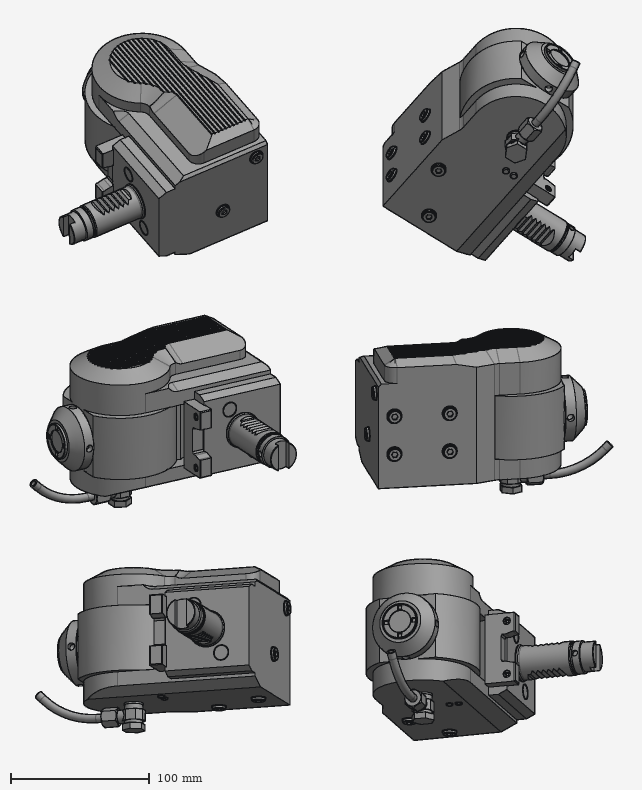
import cadquery as cq
import math


HEAD_X = -73.0
HEAD_Y = 50.0
HEAD_RADIUS = 36.2
BODY_RIGHT = 32.0
BODY_FRONT = HEAD_Y - HEAD_RADIUS
BODY_BACK = 92.0
BODY_BOTTOM = -40.0
BODY_TOP = 39.0
FLARE_X = -40.0
FLARE_ANGLE = math.radians(20.0)
FLARE_FILLET = 11.0
SHALLOW_SLOPE = math.tan(math.radians(25.0))
BOTTOM_CHAMFER = 12.0
TOP_CHAMFER = 8.4
TOP_CHAMFER_LEFT = -45.8
SIDE_CHAMFER = 2.2
RUNOUT_RADIUS = 10.0

COVER_TOP = 55.4
COVER_RIGHT = 26.2
COVER_FRONT = 33.8
COVER_CORNER = 8.0
COVER_SLOPE = math.tan(math.radians(30.0))
HEAD_CHAMFER = 13.0
EDGE_CHAMFER = COVER_CORNER
FRONT_SLOPE_WIDTH = 19.8
FRONT_SLOPE_LEFT = -30.0
NECK_FILLET = 8.0
RIB_COUNT = 17
RIB_PITCH = 3.17
RIB_GROOVE_FIRST_Y = 30.4
RIB_GROOVE_WIDTH = 0.8
RIB_GROOVE_DEPTH = 0.3

BAND_RADIUS = 41.2
BAND_HALF_HEIGHT = 24.0
BAND_FLAT_X = -108.25
RECESS_MOUTH_X = -36.0
RECESS_CORNER = (-28.4, 29.8)
RECESS_STEP = (-37.3, 24.6)
RECESS_BACK_Y = 25.4
COLLAR_RADIUS = 23.8
COLLAR_BACK = -109.1
COLLAR_FRONT = -116.7
NOSE_FRONT = -124.9
NOSE_RADIUS = 15.6
NECK_RADIUS = 22.0
RIM_FRONT = -126.8
RIM_RADIUS = 13.2
RIM_INNER_RADIUS = 12.4
RIM_DEPTH = 0.5
NOSE_BORE_RADIUS = 8.3
NOSE_BORE_DEPTH = 1.0
DRIVE_SLOT_SIZE = 3.2
DRIVE_SLOT_CENTER = 10.6
DRIVE_SLOT_DEPTH = 2.5
SPANNER_HOLE_X = -112.6
SPANNER_HOLE_RADIUS = 2.6
SPANNER_HOLE_DEPTH = 5.0
SPANNER_TIP_DEPTH = 1.5

FLANGE_HALF = 32.0
FLANGE_CHAMFER_DEPTH = 6.4
PLUG_POSITIONS = [(-10.4, 18.1), (10.7, -18.3)]
PLUG_RADIUS = 5.7
PLUG_GROOVE = 0.4
BLOCK_LEFT = -40.8
BLOCK_RIGHT = -31.0
BLOCK_FRONT = -9.3
BLOCK_HALF_HEIGHT = 26.0
BLOCK_EDGE = 0.7
NOTCH_FLOOR_Y = 1.4
NOTCH_FLOOR_HALF = 8.8
NOTCH_CORNER_Y = 0.6
NOTCH_HALF = 10.3
NOTCH_MOUTH_HALF = 11.8
NOTCH_TAPER_START = -2.3
NOTCH_TAPER_END = -7.5
BLOCK_SCREW_Y = -2.9
BLOCK_SCREW_Z = 20.0
BLOCK_SCREW_RADIUS = 2.7
BLOCK_SCREW_DEPTH = 3.0
BLOCK_SOCKET_FLATS = 2.5

SHANK_END = -58.6
SHANK_RADIUS = 12.5
SHANK_COLLAR_RADIUS = 13.5
SHANK_COLLAR_Y = -0.8
SHANK_COLLAR_NECK_Y = -1.8
SHANK_TAPER_Y = -2.8
SHANK_CHAMFER_Y = -40.3
SHANK_CHAMFER = 0.3
SEAL_GROOVE_RADIUS = 11.2
SEAL_GROOVE_START_Y = -41.2
SEAL_GROOVE_END_Y = -42.6
SEAL_RING_RADIUS = 12.0
SEAL_RING_END_Y = -48.2
TAIL_CHAMFER = 0.4
TAIL_RADIUS = 10.9
TAIL_SLOT_WIDTH = 8.8
TAIL_SLOT_DEPTH = 4.4
TOOTH_COUNT = 6
TOOTH_PITCH = 4.05
TOOTH_FIRST_Y = -11.6
TOOTH_TIP_Z = 11.0
TOOTH_ROOT_Z = 9.2
TOOTH_RAMP_START = -6.2
TOOTH_LAND_START = -7.3
TOOTH_RUNOUT_END = -35.4
SIDE_HOLE_Y = -45.0
SIDE_HOLE_RADIUS = 2.1
SIDE_HOLE_DEPTH = 3.0

POST_RADIUS = 6.6
POST_RING_RADIUS = 6.9
POST_RING_BOTTOM = -41.3
POST_BOTTOM = -55.4
FITTING_BOTTOM = -60.0
FITTING_FLATS = 14.6
BANJO_TOP = -45.1
BANJO_BOTTOM = -53.0
BANJO_LENGTH = 15.6
BANJO_WIDTH = 14.0
BANJO_CHAMFER = 4.0
PIPE_Z = -49.2
ELBOW_RADIUS = 4.9
NUT_RIGHT = -84.0
NUT_LEFT = -96.1
NUT_FLATS = 12.6
NUT_CHAMFER = 1.2
PIPE_RADIUS = 3.1
PIPE_BORE_RADIUS = 1.9
PIPE_BORE_DEPTH = 6.0
PIPE_BEND_START = -101.0
PIPE_BEND_RADIUS = 58.0
PIPE_BEND_ANGLE = math.radians(45.0)
PIPE_TIP_LENGTH = 5.1

SCREW_FLANGE_RADIUS = 5.5
SCREW_FLANGE_HEIGHT = 0.6
SCREW_HEAD_RADIUS = 4.9
SCREW_HEIGHT = 2.6
SCREW_EDGE = 0.6
SCREW_SOCKET_FLATS = 4.0
SCREW_SOCKET_DEPTH = 1.6
BACK_SCREW_X = 20.3
BACK_SCREW_Z = 14.3
SIDE_SCREWS = [(82.2, 29.5), (53.9, -10.1)]
BOTTOM_SCREWS = [(-17.8, 78.8), (18.6, 60.5)]
PIN_X = -45.8
PIN_YS = [39.0, 32.0]
PIN_RADIUS = 2.6
PIN_HEIGHT = 1.4

OVERLAP = 1.0


def box(x0, x1, y0, y1, z0, z1):
    return cq.Workplane("XY").box(x1 - x0, y1 - y0, z1 - z0, centered=False).translate((x0, y0, z0))


def cylinder(base, direction, radius, length):
    return cq.Workplane(obj=cq.Solid.makeCylinder(radius, length, cq.Vector(*base), cq.Vector(*direction)))


def prism_along_x(points_yz, x0, x1):
    return cq.Workplane("YZ").polyline(points_yz).close().extrude(x1 - x0).translate((x0, 0, 0))


def prism_along_y(points_xz, y0, y1):
    return cq.Workplane("XZ").polyline(points_xz).close().extrude(y0 - y1).translate((0, y0, 0))


def hexagon(plane, flats, length):
    return cq.Workplane(plane).polygon(6, flats / math.cos(math.pi / 6)).extrude(length)


def sloped_pocket(left, right, front_y, width, top_z):
    """Cutter for a chamfer facing -Y whose left end runs out on a radius along the slope."""
    angle = math.degrees(math.atan(SHALLOW_SLOPE))
    reach = 4 * RUNOUT_RADIUS
    upright = cq.Plane(origin=(left, front_y + width, top_z), xDir=(1, 0, 0), normal=(0, -1, 0))
    plane = upright.rotated((angle, 0, 0))
    return (
        cq.Workplane(plane)
        .moveTo(0, 0)
        .lineTo(right - left, 0)
        .lineTo(right - left, reach)
        .lineTo(-RUNOUT_RADIUS, reach)
        .lineTo(-RUNOUT_RADIUS, RUNOUT_RADIUS)
        .radiusArc((0, 0), -RUNOUT_RADIUS)
        .close()
        .extrude(reach, both=True)
    )


def flare_start_x():
    """X where the straight back of the head would meet the sloping flare."""
    head_back = HEAD_Y + HEAD_RADIUS
    return FLARE_X - (BODY_BACK - head_back) / math.tan(FLARE_ANGLE)


def flare_arc(inset):
    """Start, middle and end of the hollow arc between the back of the head and the flare."""
    center_x = flare_start_x() - FLARE_FILLET * math.tan(FLARE_ANGLE / 2)
    center_y = HEAD_Y + HEAD_RADIUS + FLARE_FILLET
    radius = FLARE_FILLET + inset
    return [
        (center_x + radius * math.sin(angle), center_y - radius * math.cos(angle))
        for angle in (0, FLARE_ANGLE / 2, FLARE_ANGLE)
    ]


def housing():
    arc_start, arc_middle, arc_end = flare_arc(0)
    body = (
        cq.Workplane("XY", origin=(0, 0, BODY_BOTTOM))
        .moveTo(HEAD_X, BODY_FRONT)
        .lineTo(BODY_RIGHT, BODY_FRONT)
        .lineTo(BODY_RIGHT, BODY_BACK)
        .lineTo(FLARE_X, BODY_BACK)
        .lineTo(*arc_end)
        .threePointArc(arc_middle, arc_start)
        .lineTo(HEAD_X, HEAD_Y + HEAD_RADIUS)
        .threePointArc((HEAD_X - HEAD_RADIUS, HEAD_Y), (HEAD_X, BODY_FRONT))
        .close()
        .extrude(BODY_TOP - BODY_BOTTOM)
    )
    bottom_drop = BOTTOM_CHAMFER * SHALLOW_SLOPE
    bottom_cut = prism_along_x(
        [
            (BODY_FRONT, BODY_BOTTOM),
            (BODY_FRONT + BOTTOM_CHAMFER, BODY_BOTTOM),
            (BODY_FRONT, BODY_BOTTOM + bottom_drop),
        ],
        HEAD_X - HEAD_RADIUS,
        BODY_RIGHT,
    )
    side_cut = prism_along_y(
        [
            (BODY_RIGHT - SIDE_CHAMFER, BODY_TOP),
            (BODY_RIGHT, BODY_TOP),
            (BODY_RIGHT, BODY_TOP - SIDE_CHAMFER),
        ],
        BODY_FRONT,
        BODY_BACK,
    )
    top_cut = sloped_pocket(TOP_CHAMFER_LEFT, BODY_RIGHT + OVERLAP, BODY_FRONT, TOP_CHAMFER, BODY_TOP)
    recess = (
        cq.Workplane("XY", origin=(0, 0, -BAND_HALF_HEIGHT))
        .polyline(
            [
                (HEAD_X, BODY_FRONT),
                (RECESS_MOUTH_X, BODY_FRONT),
                RECESS_CORNER,
                RECESS_STEP,
                (BLOCK_LEFT, RECESS_BACK_Y),
                (HEAD_X, RECESS_BACK_Y),
            ]
        )
        .close()
        .extrude(2 * BAND_HALF_HEIGHT)
    )
    return body.cut(bottom_cut).cut(side_cut).cut(top_cut).cut(recess)


def neck_fillet_center():
    """Centre of the hollow fillet between the round head and the straight front of the cover."""
    y = COVER_FRONT - NECK_FILLET
    center_gap = HEAD_RADIUS + NECK_FILLET
    return HEAD_X + math.sqrt(center_gap**2 - (HEAD_Y - y) ** 2), y


def head_outline(inset, z):
    """Outline of the cover round the head, moved inward everywhere but at its right end."""
    fillet_x, fillet_y = neck_fillet_center()
    bearing = math.atan2(fillet_y - HEAD_Y, fillet_x - HEAD_X)
    radius = HEAD_RADIUS - inset
    fillet = NECK_FILLET + inset
    right = fillet_x + OVERLAP
    arc_start, arc_middle, arc_end = flare_arc(inset)
    tangent = (HEAD_X + radius * math.cos(bearing), HEAD_Y + radius * math.sin(bearing))
    fillet_mid = (math.pi / 2 + bearing + math.pi) / 2
    return (
        cq.Workplane("XY", origin=(0, 0, z))
        .moveTo(right, HEAD_Y)
        .lineTo(*arc_end)
        .threePointArc(arc_middle, arc_start)
        .lineTo(HEAD_X, HEAD_Y + radius)
        .threePointArc((HEAD_X - radius, HEAD_Y), tangent)
        .threePointArc(
            (fillet_x + fillet * math.cos(fillet_mid), fillet_y + fillet * math.sin(fillet_mid)),
            (fillet_x, fillet_y + fillet),
        )
        .lineTo(right, fillet_y + fillet)
        .close()
    )


def cover_head():
    rim_z = COVER_TOP - HEAD_CHAMFER * COVER_SLOPE
    base_z = BODY_TOP - OVERLAP
    wall = head_outline(0, base_z).extrude(rim_z - base_z)
    slope = cq.Solid.makeLoft(
        [head_outline(0, rim_z).val(), head_outline(HEAD_CHAMFER, COVER_TOP).val()],
        True,
    )
    return wall.union(cq.Workplane(obj=slope))


def cover_block():
    base_z = BODY_TOP - OVERLAP
    neck_x = neck_fillet_center()[0]
    start_x = flare_start_x()
    head_back = HEAD_Y + HEAD_RADIUS
    block = (
        cq.Workplane("XY", origin=(0, 0, base_z))
        .polyline(
            [
                (neck_x, COVER_FRONT),
                (COVER_RIGHT, COVER_FRONT),
                (COVER_RIGHT, BODY_BACK),
                (FLARE_X, BODY_BACK),
                (start_x, head_back),
                (start_x, head_back - HEAD_CHAMFER),
                (neck_x, HEAD_Y),
            ]
        )
        .close()
        .extrude(COVER_TOP - base_z)
        .edges("|Z and >X")
        .fillet(COVER_CORNER)
    )
    edge_drop = EDGE_CHAMFER * COVER_SLOPE
    back_cut = prism_along_x(
        [
            (BODY_BACK - EDGE_CHAMFER, COVER_TOP),
            (BODY_BACK, COVER_TOP),
            (BODY_BACK, COVER_TOP - edge_drop),
        ],
        start_x,
        COVER_RIGHT,
    )
    right_cut = prism_along_y(
        [
            (COVER_RIGHT - EDGE_CHAMFER, COVER_TOP),
            (COVER_RIGHT, COVER_TOP),
            (COVER_RIGHT, COVER_TOP - edge_drop),
        ],
        COVER_FRONT,
        BODY_BACK,
    )
    flare_length = COVER_RIGHT - start_x
    head_drop = HEAD_CHAMFER * COVER_SLOPE
    flare_cut = (
        prism_along_x(
            [
                (-HEAD_CHAMFER, COVER_TOP),
                (HEAD_CHAMFER, COVER_TOP + head_drop),
                (HEAD_CHAMFER, COVER_TOP - 2 * head_drop),
            ],
            -HEAD_CHAMFER,
            flare_length,
        )
        .rotate((0, 0, 0), (0, 0, 1), math.degrees(FLARE_ANGLE))
        .translate((start_x, head_back, 0))
    )
    corner_x = COVER_RIGHT - COVER_CORNER
    corner_y = BODY_BACK - COVER_CORNER
    corner_base = COVER_TOP - edge_drop
    cone = cq.Solid.makeCone(COVER_CORNER, 0, edge_drop, cq.Vector(corner_x, corner_y, corner_base))
    corner_cut = box(corner_x, COVER_RIGHT, corner_y, BODY_BACK, corner_base, COVER_TOP)
    corner_cut = corner_cut.cut(cq.Workplane(obj=cone))
    return block.cut(back_cut).cut(right_cut).cut(corner_cut).cut(flare_cut)


def cover():
    front_cut = sloped_pocket(
        FRONT_SLOPE_LEFT, COVER_RIGHT + OVERLAP, COVER_FRONT, FRONT_SLOPE_WIDTH, COVER_TOP
    )
    raised = cover_head().union(cover_block()).cut(front_cut)
    for index in range(RIB_COUNT):
        y = RIB_GROOVE_FIRST_Y + index * RIB_PITCH
        raised = raised.cut(
            box(
                HEAD_X - HEAD_RADIUS,
                COVER_RIGHT,
                y - RIB_GROOVE_WIDTH / 2,
                y + RIB_GROOVE_WIDTH / 2,
                COVER_TOP - RIB_GROOVE_DEPTH,
                COVER_TOP + OVERLAP,
            )
        )
    return raised


def middle_band():
    band = cylinder((HEAD_X, HEAD_Y, -BAND_HALF_HEIGHT), (0, 0, 1), BAND_RADIUS, 2 * BAND_HALF_HEIGHT)
    flat = box(
        HEAD_X - 2 * BAND_RADIUS,
        BAND_FLAT_X,
        HEAD_Y - BAND_RADIUS,
        HEAD_Y + BAND_RADIUS,
        -BAND_HALF_HEIGHT,
        BAND_HALF_HEIGHT,
    )
    return band.cut(flat)


def spindle_nose():
    nose = (
        cq.Workplane("XY", origin=(0, HEAD_Y, 0))
        .polyline(
            [
                (HEAD_X, 0),
                (HEAD_X, NECK_RADIUS),
                (COLLAR_BACK, NECK_RADIUS),
                (COLLAR_BACK, COLLAR_RADIUS),
                (COLLAR_FRONT, COLLAR_RADIUS),
                (NOSE_FRONT, NOSE_RADIUS),
                (NOSE_FRONT, RIM_RADIUS),
                (RIM_FRONT, RIM_RADIUS),
                (RIM_FRONT, RIM_INNER_RADIUS),
                (RIM_FRONT + RIM_DEPTH, RIM_INNER_RADIUS),
                (RIM_FRONT + RIM_DEPTH, NOSE_BORE_RADIUS),
                (RIM_FRONT + RIM_DEPTH + NOSE_BORE_DEPTH, NOSE_BORE_RADIUS),
                (RIM_FRONT + RIM_DEPTH + NOSE_BORE_DEPTH, 0),
            ]
        )
        .close()
        .revolve(360, (0, 0, 0), (1, 0, 0))
    )
    half_slot = DRIVE_SLOT_SIZE / 2
    slot = box(
        RIM_FRONT,
        RIM_FRONT + RIM_DEPTH + DRIVE_SLOT_DEPTH,
        HEAD_Y - half_slot,
        HEAD_Y + half_slot,
        DRIVE_SLOT_CENTER - half_slot,
        DRIVE_SLOT_CENTER + half_slot,
    )
    hole_start = COLLAR_RADIUS - SPANNER_HOLE_DEPTH
    hole = cylinder(
        (SPANNER_HOLE_X, HEAD_Y, hole_start), (0, 0, 1), SPANNER_HOLE_RADIUS, 2 * SPANNER_HOLE_DEPTH
    )
    tip = cq.Solid.makeCone(
        SPANNER_HOLE_RADIUS,
        0,
        SPANNER_TIP_DEPTH,
        cq.Vector(SPANNER_HOLE_X, HEAD_Y, hole_start),
        cq.Vector(0, 0, -1),
    )
    cutter = slot.union(hole.union(cq.Workplane(obj=tip)))
    for quarter in range(4):
        nose = nose.cut(cutter.rotate((0, HEAD_Y, 0), (1, HEAD_Y, 0), 90 * quarter))
    return nose


def flange():
    slope_drop = FLANGE_CHAMFER_DEPTH * SHALLOW_SLOPE
    plate = prism_along_x(
        [
            (0, slope_drop - FLANGE_HALF),
            (FLANGE_CHAMFER_DEPTH, -FLANGE_HALF),
            (BODY_FRONT, -FLANGE_HALF),
            (BODY_FRONT, FLANGE_HALF),
            (FLANGE_CHAMFER_DEPTH, FLANGE_HALF),
            (0, FLANGE_HALF - slope_drop),
        ],
        -FLANGE_HALF,
        BODY_RIGHT,
    )
    for x, z in PLUG_POSITIONS:
        outer = cylinder((x, 0, z), (0, 1, 0), PLUG_RADIUS, PLUG_GROOVE)
        inner = cylinder((x, 0, z), (0, 1, 0), PLUG_RADIUS - PLUG_GROOVE, PLUG_GROOVE)
        plate = plate.cut(outer.cut(inner))
    return plate


def stop_block():
    plate = box(BLOCK_LEFT, -FLANGE_HALF, BLOCK_FRONT, BODY_FRONT, -BLOCK_HALF_HEIGHT, BLOCK_HALF_HEIGHT)
    lip = box(-FLANGE_HALF, BLOCK_RIGHT, BLOCK_FRONT, 0, -BLOCK_HALF_HEIGHT, BLOCK_HALF_HEIGHT)
    block = plate.union(lip).edges("<Y").chamfer(BLOCK_EDGE)
    notch = prism_along_x(
        [
            (NOTCH_FLOOR_Y, -NOTCH_FLOOR_HALF),
            (NOTCH_FLOOR_Y, NOTCH_FLOOR_HALF),
            (NOTCH_CORNER_Y, NOTCH_HALF),
            (NOTCH_TAPER_START, NOTCH_HALF),
            (NOTCH_TAPER_END, NOTCH_MOUTH_HALF),
            (BLOCK_FRONT, NOTCH_MOUTH_HALF),
            (BLOCK_FRONT, -NOTCH_MOUTH_HALF),
            (NOTCH_TAPER_END, -NOTCH_MOUTH_HALF),
            (NOTCH_TAPER_START, -NOTCH_HALF),
            (NOTCH_CORNER_Y, -NOTCH_HALF),
        ],
        BLOCK_LEFT,
        BLOCK_RIGHT,
    )
    block = block.cut(notch)
    for z in (-BLOCK_SCREW_Z, BLOCK_SCREW_Z):
        pocket = cylinder((BLOCK_LEFT, BLOCK_SCREW_Y, z), (1, 0, 0), BLOCK_SCREW_RADIUS, BLOCK_SCREW_DEPTH)
        head = cylinder(
            (BLOCK_LEFT + BLOCK_EDGE, BLOCK_SCREW_Y, z),
            (1, 0, 0),
            BLOCK_SCREW_RADIUS - BLOCK_EDGE / 2,
            BLOCK_SCREW_DEPTH,
        )
        socket = hexagon("YZ", BLOCK_SOCKET_FLATS, BLOCK_SCREW_DEPTH)
        socket = socket.translate((BLOCK_LEFT, BLOCK_SCREW_Y, z))
        block = block.cut(pocket).union(head.cut(socket))
    return block


def shank_teeth(sign):
    """Cutter for one row of teeth: a flat land, V grooves along it and a sloping run-out."""
    clear_z = SHANK_RADIUS + OVERLAP
    half_pitch = TOOTH_PITCH / 2
    profile = [
        (TOOTH_RAMP_START, clear_z),
        (TOOTH_RAMP_START, SHANK_RADIUS),
        (TOOTH_LAND_START, TOOTH_TIP_Z),
    ]
    for index in range(TOOTH_COUNT):
        root_y = TOOTH_FIRST_Y - index * TOOTH_PITCH
        profile.append((root_y + half_pitch, TOOTH_TIP_Z))
        profile.append((root_y, TOOTH_ROOT_Z))
    profile.append((TOOTH_RUNOUT_END, SHANK_RADIUS))
    profile.append((TOOTH_RUNOUT_END, clear_z))
    return prism_along_x([(y, sign * z) for y, z in profile], -SHANK_RADIUS, SHANK_RADIUS)


def shank():
    body = (
        cq.Workplane("XY")
        .polyline(
            [
                (0, OVERLAP),
                (SHANK_COLLAR_RADIUS, OVERLAP),
                (SHANK_COLLAR_RADIUS, SHANK_COLLAR_Y),
                (SHANK_RADIUS + SHANK_CHAMFER, SHANK_COLLAR_NECK_Y),
                (SHANK_RADIUS, SHANK_TAPER_Y),
                (SHANK_RADIUS, SHANK_CHAMFER_Y),
                (SHANK_RADIUS - SHANK_CHAMFER, SEAL_GROOVE_START_Y),
                (SEAL_GROOVE_RADIUS, SEAL_GROOVE_START_Y),
                (SEAL_GROOVE_RADIUS, SEAL_GROOVE_END_Y),
                (SEAL_RING_RADIUS, SEAL_GROOVE_END_Y),
                (SEAL_RING_RADIUS, SEAL_RING_END_Y),
                (TAIL_RADIUS, SEAL_RING_END_Y - TAIL_CHAMFER),
                (TAIL_RADIUS, SHANK_END + TAIL_CHAMFER),
                (TAIL_RADIUS - TAIL_CHAMFER, SHANK_END),
                (0, SHANK_END),
            ]
        )
        .close()
        .revolve(360, (0, 0, 0), (0, 1, 0))
    )
    slot = box(
        -TAIL_SLOT_WIDTH / 2,
        TAIL_SLOT_WIDTH / 2,
        SHANK_END,
        SHANK_END + TAIL_SLOT_DEPTH,
        -TAIL_RADIUS,
        TAIL_RADIUS,
    )
    side_hole = cylinder((-SHANK_RADIUS, SIDE_HOLE_Y, 0), (1, 0, 0), SIDE_HOLE_RADIUS, SIDE_HOLE_DEPTH)
    return body.cut(slot).cut(side_hole).cut(shank_teeth(1)).cut(shank_teeth(-1))


def coolant_fitting():
    post_top = BODY_BOTTOM + OVERLAP
    post = cylinder((HEAD_X, HEAD_Y, post_top), (0, 0, -1), POST_RADIUS, post_top - POST_BOTTOM)
    ring = cylinder((HEAD_X, HEAD_Y, post_top), (0, 0, -1), POST_RING_RADIUS, post_top - POST_RING_BOTTOM)
    bolt = hexagon("XY", FITTING_FLATS, POST_BOTTOM - FITTING_BOTTOM).rotate((0, 0, 0), (0, 0, 1), 90)
    bolt = bolt.translate((HEAD_X, HEAD_Y, FITTING_BOTTOM))
    banjo = (
        cq.Workplane("XY", origin=(HEAD_X, HEAD_Y, BANJO_BOTTOM))
        .rect(BANJO_LENGTH, BANJO_WIDTH)
        .extrude(BANJO_TOP - BANJO_BOTTOM)
        .edges("|Z")
        .chamfer(BANJO_CHAMFER)
    )
    elbow = cylinder((HEAD_X, HEAD_Y, PIPE_Z), (-1, 0, 0), ELBOW_RADIUS, HEAD_X - NUT_RIGHT + OVERLAP)
    nut = hexagon("YZ", NUT_FLATS, NUT_RIGHT - NUT_LEFT).rotate((0, 0, 0), (1, 0, 0), 90)
    corner_radius = NUT_FLATS / 2 / math.cos(math.pi / 6)
    turned = cq.Workplane("YZ").circle(corner_radius).extrude(NUT_RIGHT - NUT_LEFT)
    turned = turned.faces("<X or >X").chamfer(NUT_CHAMFER)
    nut = nut.intersect(turned).translate((NUT_LEFT, HEAD_Y, PIPE_Z))
    return post.union(ring).union(bolt).union(banjo).union(elbow).union(nut)


def coolant_pipe():
    sin_bend = math.sin(PIPE_BEND_ANGLE)
    cos_bend = math.cos(PIPE_BEND_ANGLE)
    half_bend = PIPE_BEND_ANGLE / 2
    bend_center_z = PIPE_Z + PIPE_BEND_RADIUS
    bend_end = (PIPE_BEND_START - PIPE_BEND_RADIUS * sin_bend, bend_center_z - PIPE_BEND_RADIUS * cos_bend)
    bend_mid = (
        PIPE_BEND_START - PIPE_BEND_RADIUS * math.sin(half_bend),
        bend_center_z - PIPE_BEND_RADIUS * math.cos(half_bend),
    )
    tip = (bend_end[0] - PIPE_TIP_LENGTH * cos_bend, bend_end[1] + PIPE_TIP_LENGTH * sin_bend)
    path = (
        cq.Workplane("XZ", origin=(0, HEAD_Y, 0))
        .moveTo(NUT_LEFT + OVERLAP, PIPE_Z)
        .lineTo(PIPE_BEND_START, PIPE_Z)
        .threePointArc(bend_mid, bend_end)
        .lineTo(*tip)
    )
    section = cq.Workplane("YZ", origin=(NUT_LEFT + OVERLAP, HEAD_Y, PIPE_Z)).circle(PIPE_RADIUS)
    pipe = section.sweep(path)
    bore = cylinder((tip[0], HEAD_Y, tip[1]), (cos_bend, 0, -sin_bend), PIPE_BORE_RADIUS, PIPE_BORE_DEPTH)
    return pipe.cut(bore)


def plug_screw():
    """Screw head standing on the XY plane."""
    head = cq.Workplane("XY").circle(SCREW_HEAD_RADIUS).extrude(SCREW_HEIGHT)
    head = head.faces(">Z").chamfer(SCREW_EDGE)
    washer = cylinder((0, 0, -OVERLAP), (0, 0, 1), SCREW_FLANGE_RADIUS, SCREW_FLANGE_HEIGHT + OVERLAP)
    socket = hexagon("XY", SCREW_SOCKET_FLATS, SCREW_SOCKET_DEPTH)
    return head.union(washer).cut(socket.translate((0, 0, SCREW_HEIGHT - SCREW_SOCKET_DEPTH)))


def add_screws(part):
    screw = plug_screw()
    back_screw = screw.rotate((0, 0, 0), (1, 0, 0), -90)
    side_screw = screw.rotate((0, 0, 0), (0, 1, 0), 90)
    bottom_screw = screw.rotate((0, 0, 0), (1, 0, 0), 180)
    for x in (-BACK_SCREW_X, BACK_SCREW_X):
        for z in (-BACK_SCREW_Z, BACK_SCREW_Z):
            part = part.union(back_screw.translate((x, BODY_BACK, z)))
    for y, z in SIDE_SCREWS:
        part = part.union(side_screw.translate((BODY_RIGHT, y, z)))
    for x, y in BOTTOM_SCREWS:
        part = part.union(bottom_screw.translate((x, y, BODY_BOTTOM)))
    for y in PIN_YS:
        pin = cylinder((PIN_X, y, BODY_BOTTOM + OVERLAP), (0, 0, -1), PIN_RADIUS, PIN_HEIGHT + OVERLAP)
        part = part.union(pin.faces("<Z").chamfer(PIN_HEIGHT / 2))
    return part


result = housing().union(cover()).union(middle_band()).union(spindle_nose())
result = result.union(flange()).union(stop_block()).union(shank())
result = result.union(coolant_fitting()).union(coolant_pipe())
result = add_screws(result)